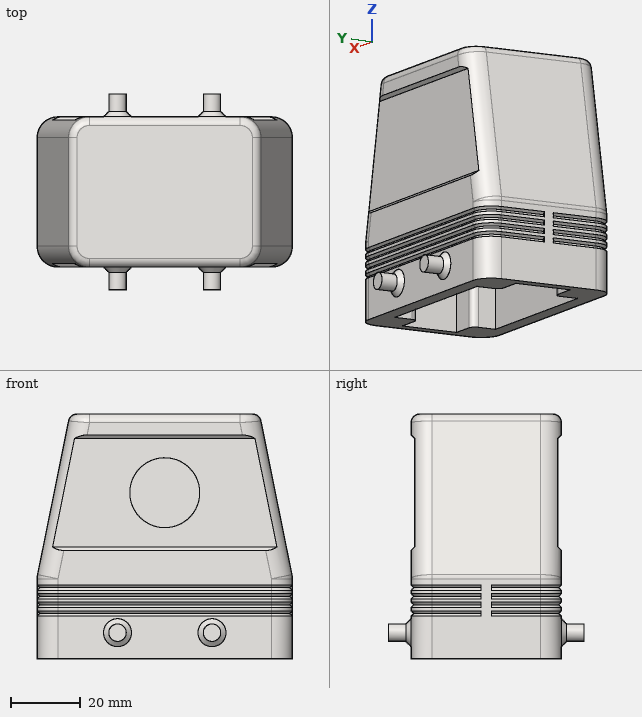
import cadquery as cq
import math

LENGTH = 73.0
WIDTH = 43.0
HEIGHT = 70.0
BREAK_HEIGHT = 23.5
TOP_LENGTH = 54.2
CORNER_RADIUS = 6.0
BREAK_RADIUS = 6.0
TOP_RADIUS = 2.5

RECESS_DEPTH = 1.0
RECESS_BOTTOM = 31.0
RECESS_TOP = 64.0

GROOVE_COUNT = 4
GROOVE_WIDTH = 1.5
GROOVE_PITCH = 2.45
LOWEST_GROOVE = 13.0
GROOVE_GAP = 3.0

PEG_SPACING = 27.0
PEG_HEIGHT = 7.5
PEG_DIAMETER = 5.0
PEG_BASE_DIAMETER = 8.0
PEG_SPAN = 56.0

END_WALL = 3.5
SIDE_WALL = 5.0
ROOF_THICKNESS = 4.0
BLOCK_GAP = 17.8
BLOCK_SPACING = 47.8
BLOCK_RADIUS = 2.0

ENTRY_DIAMETER = 20.0
ENTRY_HEIGHT = 47.5

FLANK_ANGLE = 45.0
SELECTION_MARGIN = 1.0
LEAN_ANGLE = math.atan2((LENGTH - TOP_LENGTH) / 2, HEIGHT - BREAK_HEIGHT)


def block(length, width, bottom, top):
    """Box centred on the Z axis between two levels."""
    return cq.Workplane("XY").workplane(offset=bottom).rect(length, width).extrude(top - bottom)


def gable_prism(inset, roof_height, width):
    """Prism along Y with leaning upper end walls, offset inward from the outer ends by inset."""
    half_length = LENGTH / 2 - inset
    break_height = BREAK_HEIGHT - inset * math.tan(LEAN_ANGLE / 2)
    top_half_length = half_length - (roof_height - break_height) * math.tan(LEAN_ANGLE)
    right_side = [(half_length, 0), (half_length, break_height), (top_half_length, roof_height)]
    left_side = [(-x, z) for x, z in reversed(right_side)]
    return cq.Workplane("XZ").polyline(right_side + left_side).close().extrude(width / 2, both=True)


def outer_shell():
    """Solid hood body with rounded breaks, corners and top rim."""
    shell = gable_prism(0, HEIGHT, WIDTH)
    break_edges = cq.selectors.BoxSelector(
        (-LENGTH, -WIDTH, BREAK_HEIGHT - SELECTION_MARGIN),
        (LENGTH, WIDTH, BREAK_HEIGHT + SELECTION_MARGIN),
    )
    shell = shell.edges("|Y").edges(break_edges).fillet(BREAK_RADIUS)
    shell = shell.faces("<Y or >Y").edges("not |X").fillet(CORNER_RADIUS)
    return shell.faces(">Z").edges().fillet(TOP_RADIUS)


def side_recess(side):
    """Recess cutter for one long face, with its upper and lower flanks sloping at 45 degrees."""
    face = WIDTH / 2
    floor = face - RECESS_DEPTH
    outline = [
        (side * face, RECESS_BOTTOM),
        (side * floor, RECESS_BOTTOM + RECESS_DEPTH),
        (side * floor, RECESS_TOP - RECESS_DEPTH),
        (side * face, RECESS_TOP),
    ]
    return cq.Workplane("YZ").polyline(outline).close().extrude(LENGTH / 2, both=True)


def groove(center_height):
    """V groove round the base, stopping short of the middle of the end walls."""
    depth = GROOVE_WIDTH / 2
    bottom = center_height - depth
    ring = block(LENGTH, WIDTH, bottom, bottom + GROOVE_WIDTH)
    outline = cq.Sketch().rect(LENGTH, WIDTH).vertices().fillet(CORNER_RADIUS)
    base = cq.Workplane("XY").workplane(offset=bottom).placeSketch(outline)
    lower_core = base.extrude(depth, taper=FLANK_ANGLE)
    upper_core = lower_core.mirror("XY", (0, 0, center_height))
    gap = block(LENGTH, GROOVE_GAP, bottom, bottom + GROOVE_WIDTH)
    return ring.cut(lower_core).cut(upper_core).cut(gap)


def peg(x, side):
    """Peg with a 45 degree conical base, turned about an axis along Y."""
    base_radius = PEG_BASE_DIAMETER / 2
    radius = PEG_DIAMETER / 2
    root = WIDTH / 2 - SIDE_WALL / 2
    face = WIDTH / 2
    cone_end = face + base_radius - radius
    tip = PEG_SPAN / 2
    profile = [
        (0, side * root),
        (base_radius, side * root),
        (base_radius, side * face),
        (radius, side * cone_end),
        (radius, side * tip),
        (0, side * tip),
    ]
    turned = cq.Workplane("XY").polyline(profile).close().revolve(360, (0, 0, 0), (0, 1, 0))
    return turned.translate((x, 0, PEG_HEIGHT))


def cavity():
    """Cross-shaped hollow whose end walls follow the outer lean."""
    inner_width = WIDTH - 2 * SIDE_WALL
    roof_height = HEIGHT - ROOF_THICKNESS
    cross = block(LENGTH, BLOCK_GAP, 0, roof_height)
    cross = cross.union(block(BLOCK_SPACING, inner_width, 0, roof_height))
    reach_x = BLOCK_SPACING / 2 + SELECTION_MARGIN
    reach_y = BLOCK_GAP / 2 + SELECTION_MARGIN
    block_edges = cq.selectors.BoxSelector((-reach_x, -reach_y, 0), (reach_x, reach_y, HEIGHT))
    cross = cross.edges("|Z").edges(block_edges).fillet(BLOCK_RADIUS)
    return cross.intersect(gable_prism(END_WALL, roof_height, inner_width))


def cable_entry():
    """Round hole from the front face into the cavity."""
    front = cq.Workplane("XZ").center(0, ENTRY_HEIGHT)
    return front.circle(ENTRY_DIAMETER / 2).extrude(WIDTH / 2)


hood = outer_shell()
for groove_index in range(GROOVE_COUNT):
    hood = hood.cut(groove(LOWEST_GROOVE + groove_index * GROOVE_PITCH))
for side in (-1, 1):
    hood = hood.cut(side_recess(side))
    for peg_x in (-PEG_SPACING / 2, PEG_SPACING / 2):
        hood = hood.union(peg(peg_x, side))

result = hood.cut(cavity()).cut(cable_entry())